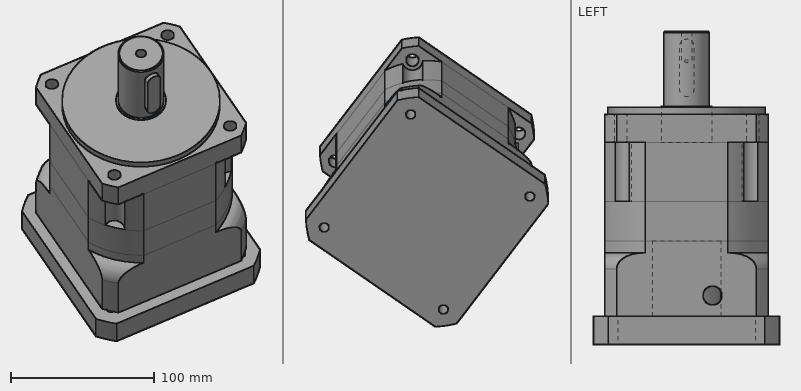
import cadquery as cq
import math


TOTAL_HEIGHT = 218.5
PLATE_TOP = 19.9
SHOULDER_TOP = 64.0
RING_BOTTOM = 72.5
RING_TOP = 100.0
FLANGE_BOTTOM = 141.4
FLANGE_TOP = 160.5
PILOT_TOP = 165.6
COLLAR_TOP = 166.3

HOUSING_WIDTH = 114.0
SLIM_CORNER_RADIUS = 63.8
WIDE_CORNER_RADIUS = 75.0
PLATE_WIDTH = 130.0
PLATE_CORNER_RADIUS = 84.8

PILOT_RADIUS = 55.0
FLANGE_HOLE_OFFSET = 45.9
FLANGE_HOLE_RADIUS = 4.4
GROOVE_RADIUS = 7.2

SHAFT_RADIUS = 16.0
SHAFT_CHAMFER = 0.9
COLLAR_RADIUS = 17.5
COLLAR_BOTTOM = FLANGE_BOTTOM
CENTRE_HOLE_RADIUS = 3.5
CENTRE_HOLE_DEPTH = 19.7
DRILL_POINT_ANGLE = 118.0
KEY_WIDTH = 10.0
KEY_LENGTH = 40.0
KEY_TOP = 213.3
KEY_INNER = 11.0
KEY_OUTER = 19.0

HUB_RADIUS = 23.8
HUB_TOP = RING_BOTTOM
ACCESS_HOLE_RADIUS = 6.5
ACCESS_HOLE_Y = -18.1
ACCESS_HOLE_Z = 34.3
MOUNT_HOLE_OFFSET = 51.3
MOUNT_HOLE_RADIUS = 3.3


def cylinder(radius, bottom, top):
    return cq.Workplane("XY", origin=(0, 0, bottom)).circle(radius).extrude(top - bottom)


def square_prism(width, bottom, top):
    return cq.Workplane("XY", origin=(0, 0, bottom)).rect(width, width).extrude(top - bottom)


def square_section(width, corner_radius, bottom, top):
    """Square prism whose corners are rounded about the main axis."""
    return square_prism(width, bottom, top).intersect(cylinder(corner_radius, bottom, top))


def corner_cylinders(offset, radius, bottom, top):
    """Four vertical cylinders, one on each diagonal of the square."""
    pattern = cq.Workplane("XY", origin=(0, 0, bottom)).rect(2 * offset, 2 * offset, forConstruction=True)
    return pattern.vertices().circle(radius).extrude(top - bottom)


def make_flange():
    flange = square_section(HOUSING_WIDTH, WIDE_CORNER_RADIUS, FLANGE_BOTTOM, FLANGE_TOP)
    holes = corner_cylinders(FLANGE_HOLE_OFFSET, FLANGE_HOLE_RADIUS, FLANGE_BOTTOM, FLANGE_TOP)
    pilot = cylinder(PILOT_RADIUS, FLANGE_TOP, PILOT_TOP)
    return flange.cut(holes).union(pilot)


def make_grooved_section():
    section = square_section(HOUSING_WIDTH, SLIM_CORNER_RADIUS, RING_TOP, FLANGE_BOTTOM)
    grooves = corner_cylinders(FLANGE_HOLE_OFFSET, GROOVE_RADIUS, RING_TOP, FLANGE_BOTTOM)
    return section.cut(grooves)


def make_input_section():
    """Slim section that widens over quarter-round shoulders to the wide corners below."""
    slim = square_section(HOUSING_WIDTH, SLIM_CORNER_RADIUS, PLATE_TOP, RING_BOTTOM)

    round_radius = WIDE_CORNER_RADIUS - SLIM_CORNER_RADIUS
    round_bottom = SHOULDER_TOP - round_radius
    arc_reach = round_radius * math.sqrt(0.5)
    arc_middle = (SLIM_CORNER_RADIUS + arc_reach, round_bottom + arc_reach)
    domed_cylinder = (
        cq.Workplane("XZ")
        .moveTo(0, PLATE_TOP)
        .lineTo(WIDE_CORNER_RADIUS, PLATE_TOP)
        .lineTo(WIDE_CORNER_RADIUS, round_bottom)
        .threePointArc(arc_middle, (SLIM_CORNER_RADIUS, SHOULDER_TOP))
        .lineTo(0, SHOULDER_TOP)
        .close()
        .revolve(360, (0, 0, 0), (0, 1, 0))
    )
    wide = square_prism(HOUSING_WIDTH, PLATE_TOP, SHOULDER_TOP).intersect(domed_cylinder)
    section = slim.union(wide)

    access_hole = (
        cq.Workplane("YZ", origin=(-HOUSING_WIDTH / 2, ACCESS_HOLE_Y, ACCESS_HOLE_Z))
        .circle(ACCESS_HOLE_RADIUS)
        .extrude(HOUSING_WIDTH / 2)
    )
    hub_bore = cylinder(HUB_RADIUS, PLATE_TOP, HUB_TOP)
    return section.cut(access_hole).cut(hub_bore)


def make_housing():
    housing = make_input_section()
    ring = square_section(HOUSING_WIDTH, SLIM_CORNER_RADIUS, RING_BOTTOM, RING_TOP)
    for section in (ring, make_grooved_section(), make_flange()):
        housing = housing.union(section, clean=False)
    shaft_seat = cylinder(COLLAR_RADIUS, COLLAR_BOTTOM, PILOT_TOP)
    return housing.cut(shaft_seat, clean=False)


def make_adapter_plate():
    plate = square_section(PLATE_WIDTH, PLATE_CORNER_RADIUS, 0, PLATE_TOP)
    return plate.cut(corner_cylinders(MOUNT_HOLE_OFFSET, MOUNT_HOLE_RADIUS, 0, PLATE_TOP))


def make_output_shaft():
    collar = cylinder(COLLAR_RADIUS, COLLAR_BOTTOM, COLLAR_TOP)
    journal = cylinder(SHAFT_RADIUS, COLLAR_TOP, TOTAL_HEIGHT).faces(">Z").chamfer(SHAFT_CHAMFER)

    key = (
        cq.Workplane("YZ", origin=(KEY_INNER, 0, KEY_TOP - KEY_LENGTH / 2))
        .slot2D(KEY_LENGTH, KEY_WIDTH, 90)
        .extrude(KEY_OUTER - KEY_INNER)
    )

    point_start = TOTAL_HEIGHT - CENTRE_HOLE_DEPTH
    point_depth = CENTRE_HOLE_RADIUS / math.tan(math.radians(DRILL_POINT_ANGLE / 2))
    centre_hole = (
        cq.Workplane("XZ")
        .moveTo(0, TOTAL_HEIGHT)
        .lineTo(CENTRE_HOLE_RADIUS, TOTAL_HEIGHT)
        .lineTo(CENTRE_HOLE_RADIUS, point_start)
        .lineTo(0, point_start - point_depth)
        .close()
        .revolve(360, (0, 0, 0), (0, 1, 0))
    )
    return collar.union(journal).union(key).cut(centre_hole)


def make_input_hub():
    return cylinder(HUB_RADIUS, PLATE_TOP, HUB_TOP)


housing = make_housing()
adapter_plate = make_adapter_plate()
output_shaft = make_output_shaft()
input_hub = make_input_hub()

result = cq.Compound.makeCompound([
    housing.solids().val(),
    adapter_plate.solids().val(),
    output_shaft.solids().val(),
    input_hub.solids().val(),
])